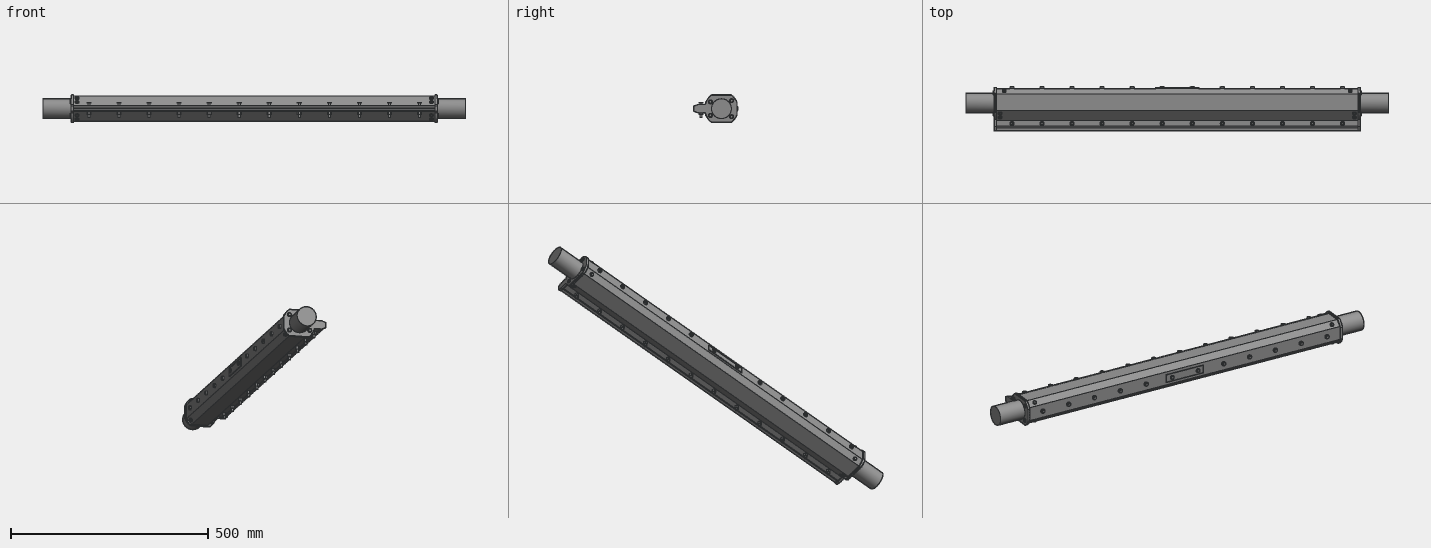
import cadquery as cq
import math

total_length = 1072.0
shaft_diameter = 50.0

housing_half_height = 32.0
housing_back_y = 36.0
back_chamfer = 14.0
slope_top_y = -19.0
lip_root_y = -45.0
lip_edge_y = -59.0
lip_half_height = 8.0
nose_root_y = -63.0
nose_half_height = 4.0
nose_bevel_y = -68.0
nose_y = -71.0
tip_half_height = 3.8
groove_depth = 1.6

plate_outer_x = 464.0
plate_thickness = 6.0
plate_inner_x = plate_outer_x - plate_thickness
plate_radius = 43.0
plate_half_height = 35.0
plate_edge_chamfer = 1.6
plate_back_y = 40.0
plate_lip_half_height = 11.0
plate_lip_edge_y = -60.0
plate_nose_half_height = 6.0

plate_screw_diameter = 10.2
plate_screw_height = 3.0
back_plate_screw = (26.0, 20.0)
front_plate_screw = (-28.0, 17.0)

bolt_count = 12
bolt_span = 838.0
bolt_pitch = bolt_span / (bolt_count - 1)
bolt_xs = [i * bolt_pitch - bolt_span / 2 for i in range(bolt_count)]
lip_bolt_y = (lip_root_y + lip_edge_y) / 2
lip_bolt_head_diameter = 11.0
lip_bolt_head_top = 16.0
lip_bolt_head_height = 2.0
lip_bolt_shank_diameter = 5.0
lip_bolt_end = -23.0
lip_nut_bottom = -15.0
lip_nut_sides = 6
back_bolt_diameter = 11.0
back_bolt_height = 5.0

slope_screw_diameter = 9.5
slope_screw_height = 3.0
slope_screw_x = 449.0
slope_screw_fractions = (0.25, 0.65)
chamfer_screw_x = 438.0

name_plate_length = 109.0
name_plate_height = 21.0
name_plate_thickness = 2.0

head_chamfer = 1.6
root_depth = 3.0


def mirrored_profile(upper):
    """Close an outline from its upper half by mirroring it about z = 0."""
    return upper + [(y, -z) for y, z in reversed(upper) if z != 0]


def cylinder(diameter, base, direction, length):
    """Cylinder that starts at the base point and runs along the direction."""
    return cq.Workplane(
        cq.Solid.makeCylinder(diameter / 2, length, cq.Vector(*base), cq.Vector(*direction))
    )


def screw_head(diameter, seat, direction, height):
    """Bevelled head standing on the seat point, with its root sunk into the body."""
    axis = cq.Vector(*direction)
    root = cq.Vector(*seat) - axis * root_depth
    head = cylinder(diameter, root.toTuple(), direction, height + root_depth)
    return head.faces(cq.selectors.DirectionMinMaxSelector(axis, True)).chamfer(head_chamfer)


def make_housing():
    """Long housing with a chamfered back, a clamping lip and a grooved nose."""
    upper = [
        (housing_back_y, housing_half_height - back_chamfer),
        (housing_back_y - back_chamfer, housing_half_height),
        (slope_top_y, housing_half_height),
        (lip_root_y, lip_half_height),
        (lip_edge_y, lip_half_height),
        (nose_root_y, nose_half_height),
        (nose_bevel_y, nose_half_height),
        (nose_y, tip_half_height),
        (nose_y + groove_depth, 0),
    ]
    profile = cq.Workplane("YZ").polyline(mirrored_profile(upper)).close()
    return profile.extrude(plate_inner_x, both=True)


def make_end_plate(side):
    """Round plate trimmed flat at top, bottom and back, with a tongue covering the lip."""
    plane = cq.Plane.named("YZ", origin=(side * plate_inner_x, 0, 0))
    depth = side * plate_thickness
    flats_length = plate_back_y + plate_radius
    flats_middle_y = plate_back_y - flats_length / 2
    disc = cq.Workplane(plane).circle(plate_radius).extrude(depth)
    flats = cq.Workplane(plane).center(flats_middle_y, 0).rect(flats_length, 2 * plate_half_height)
    plate = disc.intersect(flats.extrude(depth))
    plate = plate.faces("<Z or >Z").edges("|Y").chamfer(plate_edge_chamfer)
    tongue_upper = [
        (0, plate_lip_half_height),
        (plate_lip_edge_y, plate_lip_half_height),
        (nose_y, plate_nose_half_height),
    ]
    tongue = cq.Workplane(plane).polyline(mirrored_profile(tongue_upper)).close()
    plate = plate.union(tongue.extrude(depth))
    for y, z in (back_plate_screw, front_plate_screw):
        for half in (1, -1):
            seat = (side * plate_outer_x, y, half * z)
            plate = plate.union(
                screw_head(plate_screw_diameter, seat, (side, 0, 0), plate_screw_height)
            )
    return plate


def make_lip_bolt(x):
    """Clamping bolt through the lip, with a nut below."""
    shank = cylinder(
        lip_bolt_shank_diameter,
        (x, lip_bolt_y, lip_bolt_end),
        (0, 0, 1),
        lip_bolt_head_top - lip_bolt_end,
    )
    head = cylinder(
        lip_bolt_head_diameter,
        (x, lip_bolt_y, lip_bolt_head_top - lip_bolt_head_height),
        (0, 0, 1),
        lip_bolt_head_height,
    )
    nut_outline = cq.Workplane("XY", origin=(x, lip_bolt_y, 0))
    nut_outline = nut_outline.polygon(lip_nut_sides, lip_bolt_head_diameter)
    return shank.union(head).union(nut_outline.extrude(lip_nut_bottom))


def make_back_bolt(x):
    """Bevelled bolt head on the flat back of the housing."""
    return screw_head(back_bolt_diameter, (x, housing_back_y, 0), (0, 1, 0), back_bolt_height)


def make_name_plate():
    """Thin plate at the middle of the housing back."""
    depth = name_plate_thickness + root_depth
    plate = cq.Workplane("XY").box(name_plate_length, depth, name_plate_height)
    return plate.translate((0, housing_back_y + name_plate_thickness - depth / 2, 0))


def make_end_screws(side):
    """Screw heads standing square on the sloped housing faces near one end, above and below."""
    slope_run = slope_top_y - lip_root_y
    slope_drop = housing_half_height - lip_half_height
    slope_length = math.hypot(slope_run, slope_drop)
    chamfer_y = housing_back_y - back_chamfer / 2
    chamfer_z = housing_half_height - back_chamfer / 2
    diagonal = math.sqrt(0.5)
    screws = cq.Workplane()
    for half in (1, -1):
        normal = (0, -slope_drop / slope_length, half * slope_run / slope_length)
        for fraction in slope_screw_fractions:
            y = slope_top_y - fraction * slope_run
            z = half * (housing_half_height - fraction * slope_drop)
            seat = (side * slope_screw_x, y, z)
            screws.add(screw_head(slope_screw_diameter, seat, normal, slope_screw_height))
        normal = (0, diagonal, half * diagonal)
        seat = (side * chamfer_screw_x, chamfer_y, half * chamfer_z)
        screws.add(screw_head(slope_screw_diameter, seat, normal, slope_screw_height))
    return screws


result = cylinder(shaft_diameter, (-total_length / 2, 0, 0), (1, 0, 0), total_length)
result = result.union(make_housing()).union(make_name_plate())

for bolt_x in bolt_xs:
    result = result.union(make_lip_bolt(bolt_x)).union(make_back_bolt(bolt_x))

for side in (1, -1):
    result = result.union(make_end_plate(side)).union(make_end_screws(side))